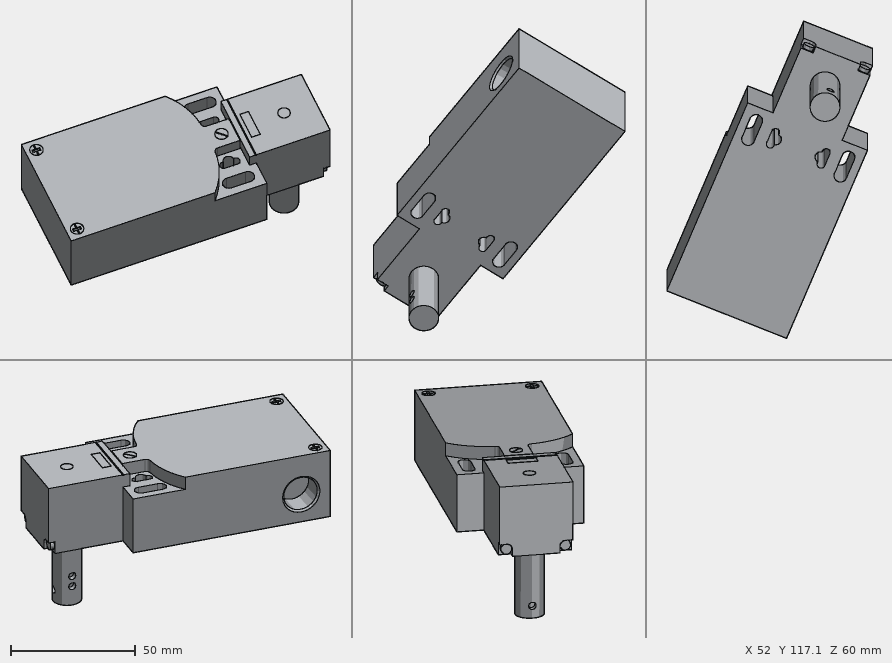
import cadquery as cq
import math

BODY_WIDTH = 52.0
BODY_LENGTH = 85.0
BODY_HEIGHT = 24.5
HEIGHT = 30.0

TOTAL_LENGTH = 117.1
HEAD_WIDTH = 30.0
HEAD_FRONT_Y = 82.1
HEAD_GROOVE_WIDTH = 0.4
HEAD_GROOVE_DEPTH = 0.4

COVER_THICKNESS = HEIGHT - BODY_HEIGHT
TONGUE_WIDTH = 11.7
TONGUE_FILLET = 1.6
TONGUE_GAP = 0.4
COVER_ARC_RADIUS = 32.3
COVER_ARC_X = 4.7
COVER_ARC_Y = 38.2

MOUNT_Y = 75.2
SLOT_X = 20.0
SLOT_WIDTH = 5.2
SLOT_LENGTH = 13.5
KEYHOLE_SLOT_X = 11.0
KEYHOLE_SLOT_WIDTH = 3.2
KEYHOLE_SLOT_LENGTH = 8.5
KEYHOLE_X = 9.7
KEYHOLE_DIAMETER = 4.5

CABLE_Y = 12.5
CABLE_Z = 12.5
CABLE_DIAMETER = 14.4
CABLE_CHAMFER = 0.8
CABLE_DEPTH = 10.3

POST_Y = 103.3
POST_RADIUS = 6.0
POST_LENGTH = 30.0
POST_HOLE_DIAMETER = 3.0
POST_HOLE_DEPTH = 2.3
SIDE_HOLE_ZS = (-16.9, -21.4)
BACK_HOLE_Z = -24.7

MARK_DEPTH = 0.1
MARK_DIAMETER = 5.0
LABEL_WIDTH = 12.3
LABEL_LENGTH = 3.7
LABEL_FRONT_Y = 86.7
SCREW_DIAMETER = 5.4
TONGUE_SCREW_Y = 76.1
COVER_SCREW_X = 21.2
COVER_SCREW_Y = 4.6
DRIVE_DEPTH = 0.6
DRIVE_SLOT_WIDTH = 0.4
CROSS_SLOT_WIDTH = 1.2
CROSS_SLOT_LENGTH = 3.3

CORNER_INSET = 2.9
CORNER_POCKET_DEPTH = 2.8
CORNER_POCKET_RADIUS = 2.3
CORNER_SCREW_RADIUS = 2.2
CORNER_SCREW_LENGTH = 1.6


def box(width, length, height, y, z):
    """Box centred on X = 0, starting at y and z."""
    return cq.Workplane("XY").box(width, length, height, centered=(True, False, False)).translate((0, y, z))


def make_body():
    body = box(BODY_WIDTH, BODY_LENGTH, BODY_HEIGHT, 0, 0)
    for side in (-1, 1):
        for x, width, length in (
            (SLOT_X, SLOT_WIDTH, SLOT_LENGTH),
            (KEYHOLE_SLOT_X, KEYHOLE_SLOT_WIDTH, KEYHOLE_SLOT_LENGTH),
        ):
            slot = cq.Workplane("XY").center(side * x, MOUNT_Y).slot2D(length, width, 90)
            body = body.cut(slot.extrude(BODY_HEIGHT))
        keyhole = cq.Workplane("XY").center(side * KEYHOLE_X, MOUNT_Y).circle(KEYHOLE_DIAMETER / 2)
        body = body.cut(keyhole.extrude(BODY_HEIGHT))
    return body


def make_cover():
    """Plate whose back edge has one arc per side, each blended into the tongue by a tangent fillet."""
    half_width = BODY_WIDTH / 2
    half_tongue = TONGUE_WIDTH / 2
    tongue_end_y = HEAD_FRONT_Y - TONGUE_GAP

    def on_arc(x):
        return (x, COVER_ARC_Y + math.sqrt(COVER_ARC_RADIUS**2 - (x - COVER_ARC_X) ** 2))

    fillet_x = half_tongue + TONGUE_FILLET
    center_distance = COVER_ARC_RADIUS + TONGUE_FILLET
    fillet_offset_x = fillet_x - COVER_ARC_X
    fillet_y = COVER_ARC_Y + math.sqrt(center_distance**2 - fillet_offset_x**2)
    tangent_x = COVER_ARC_X + fillet_offset_x * COVER_ARC_RADIUS / center_distance
    middle_x = (tangent_x + half_width) / 2

    half = (
        cq.Workplane("XY", origin=(0, 0, BODY_HEIGHT))
        .lineTo(half_width, 0)
        .lineTo(*on_arc(half_width))
        .threePointArc(on_arc(middle_x), on_arc(tangent_x))
        .radiusArc((half_tongue, fillet_y), TONGUE_FILLET)
        .lineTo(half_tongue, tongue_end_y)
        .lineTo(0, tongue_end_y)
        .close()
        .extrude(COVER_THICKNESS)
    )
    return half.union(half.mirror("YZ"))


def make_head():
    head = box(HEAD_WIDTH, TOTAL_LENGTH - HEAD_FRONT_Y, HEIGHT, HEAD_FRONT_Y, 0)
    groove = box(
        HEAD_WIDTH,
        HEAD_GROOVE_WIDTH,
        HEAD_GROOVE_DEPTH,
        BODY_LENGTH - HEAD_GROOVE_WIDTH,
        HEIGHT - HEAD_GROOVE_DEPTH,
    )
    head = head.cut(groove)
    pocket, screw = make_corner_pocket_and_screw()
    head = head.cut(pocket).cut(pocket.mirror("YZ"))
    return head.union(screw).union(screw.mirror("YZ"))


def make_corner_pocket_and_screw():
    """Pocket at the lower -X back corner, open to the side and below, and its round screw head."""
    edge_x = -HEAD_WIDTH / 2
    screw_x = edge_x + CORNER_INSET
    floor_y = TOTAL_LENGTH - CORNER_POCKET_DEPTH
    plane = cq.Plane(origin=(0, floor_y, 0), xDir=(1, 0, 0), normal=(0, -1, 0))
    pocket = (
        cq.Workplane(plane)
        .moveTo(edge_x, 0)
        .lineTo(edge_x, CORNER_INSET + CORNER_POCKET_RADIUS)
        .lineTo(screw_x, CORNER_INSET + CORNER_POCKET_RADIUS)
        .radiusArc((screw_x + CORNER_POCKET_RADIUS, CORNER_INSET), CORNER_POCKET_RADIUS)
        .lineTo(screw_x + CORNER_POCKET_RADIUS, 0)
        .close()
        .extrude(-CORNER_POCKET_DEPTH)
    )
    screw = (
        cq.Workplane(plane)
        .center(screw_x, CORNER_INSET)
        .circle(CORNER_SCREW_RADIUS)
        .extrude(-CORNER_SCREW_LENGTH)
    )
    return pocket, screw


def make_post():
    """Round post with shallow holes whose floors follow its surface."""
    post = cq.Workplane("XY").circle(POST_RADIUS).extrude(-POST_LENGTH)
    core = cq.Workplane("XY").circle(POST_RADIUS - POST_HOLE_DEPTH).extrude(-POST_LENGTH)
    hole_radius = POST_HOLE_DIAMETER / 2
    drills = [
        cq.Workplane("YZ").center(0, z).circle(hole_radius).extrude(-POST_RADIUS)
        for z in SIDE_HOLE_ZS
    ]
    drills.append(cq.Workplane("XZ").center(0, BACK_HOLE_Z).circle(hole_radius).extrude(-POST_RADIUS))
    for drill in drills:
        post = post.cut(drill.cut(core))
    return post.translate((0, POST_Y, 0))


def make_cable_entry():
    """Blind round hole with a chamfered mouth."""
    mouth = CABLE_DIAMETER / 2 + CABLE_CHAMFER
    plane = cq.Workplane("YZ", origin=(-BODY_WIDTH / 2, CABLE_Y, CABLE_Z))
    bore = plane.circle(CABLE_DIAMETER / 2).extrude(CABLE_DEPTH)
    cone = plane.circle(mouth).extrude(CABLE_CHAMFER, taper=45)
    return bore.union(cone)


def top_disc(x, y, diameter):
    return cq.Workplane("XY", origin=(x, y, HEIGHT - MARK_DEPTH)).circle(diameter / 2).extrude(MARK_DEPTH)


def drive_slot(x, y, length, width, angle):
    """Driver slot, cut down from the recessed face of a screw head and limited to that head."""
    depth = MARK_DEPTH + DRIVE_DEPTH
    slot = cq.Workplane("XY").rect(length, width).extrude(depth).rotate((0, 0, 0), (0, 0, 1), angle)
    head = cq.Workplane("XY").circle(SCREW_DIAMETER / 2).extrude(depth)
    return slot.intersect(head).translate((x, y, HEIGHT - depth))


def cut_top_details(part):
    part = part.cut(top_disc(0, POST_Y, MARK_DIAMETER))
    part = part.cut(box(LABEL_WIDTH, LABEL_LENGTH, MARK_DEPTH, LABEL_FRONT_Y, HEIGHT - MARK_DEPTH))

    part = part.cut(top_disc(0, TONGUE_SCREW_Y, SCREW_DIAMETER))
    part = part.cut(drive_slot(0, TONGUE_SCREW_Y, SCREW_DIAMETER, DRIVE_SLOT_WIDTH, 45))

    for x in (-COVER_SCREW_X, COVER_SCREW_X):
        part = part.cut(top_disc(x, COVER_SCREW_Y, SCREW_DIAMETER))
        part = part.cut(drive_slot(x, COVER_SCREW_Y, SCREW_DIAMETER, DRIVE_SLOT_WIDTH, 0))
        part = part.cut(drive_slot(x, COVER_SCREW_Y, CROSS_SLOT_LENGTH, CROSS_SLOT_WIDTH, 90))
    return part


housing = make_body().union(make_cover()).union(make_head()).union(make_post())
result = cut_top_details(housing.cut(make_cable_entry()))